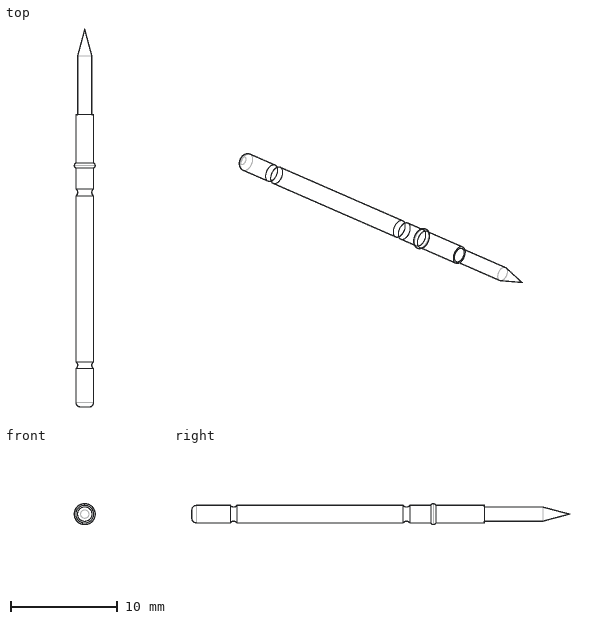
import cadquery as cq

length = 35.4
body_diameter = 1.65
plunger_diameter = 1.35
ring_diameter = 2.0

cone_length = 2.5
body_start = 8.0
ring_center = 12.78
groove_centers = (15.3, 31.47)

ring_thickness = 0.5
groove_width = 0.65
groove_depth = 0.16
end_flat_diameter = 0.78

tip_y = length / 2
end_y = -length / 2
body_front_y = tip_y - body_start
body_radius = body_diameter / 2
end_round = (body_diameter - end_flat_diameter) / 2


def revolve_about_axis(profile):
    """Turn a closed profile, drawn as (radius, y), into a solid round the Y axis."""
    return profile.revolve(360, (0, 0, 0), (0, 1, 0))


def make_plunger():
    """Cone point and the thin rod behind it, up to the front of the barrel."""
    radius = plunger_diameter / 2
    return revolve_about_axis(
        cq.Workplane("XY")
        .moveTo(0, tip_y)
        .lineTo(radius, tip_y - cone_length)
        .lineTo(radius, body_front_y)
        .lineTo(0, body_front_y)
        .close()
    )


def make_barrel():
    """Long barrel with a square front shoulder and a rounded rear end."""
    barrel = (
        cq.Workplane("XZ", origin=(0, body_front_y, 0))
        .circle(body_radius)
        .extrude(body_front_y - end_y)
    )
    return barrel.faces("<Y").edges().fillet(end_round)


def make_ring():
    """Bead of round cross-section, partly sunk into the barrel."""
    section_radius = ring_thickness / 2
    center_radius = ring_diameter / 2 - section_radius
    section = cq.Workplane("XY").moveTo(center_radius, tip_y - ring_center).circle(section_radius)
    return revolve_about_axis(section)


def make_groove_cutter(center):
    """Ring with an arc-shaped inner side that cuts a shallow groove into the barrel."""
    half_width = groove_width / 2
    outer_radius = body_radius + groove_depth
    y = tip_y - center
    return revolve_about_axis(
        cq.Workplane("XY")
        .moveTo(body_radius, y + half_width)
        .threePointArc((body_radius - groove_depth, y), (body_radius, y - half_width))
        .lineTo(outer_radius, y - half_width)
        .lineTo(outer_radius, y + half_width)
        .close()
    )


result = make_barrel().union(make_plunger()).union(make_ring())
for groove_center in groove_centers:
    result = result.cut(make_groove_cutter(groove_center))